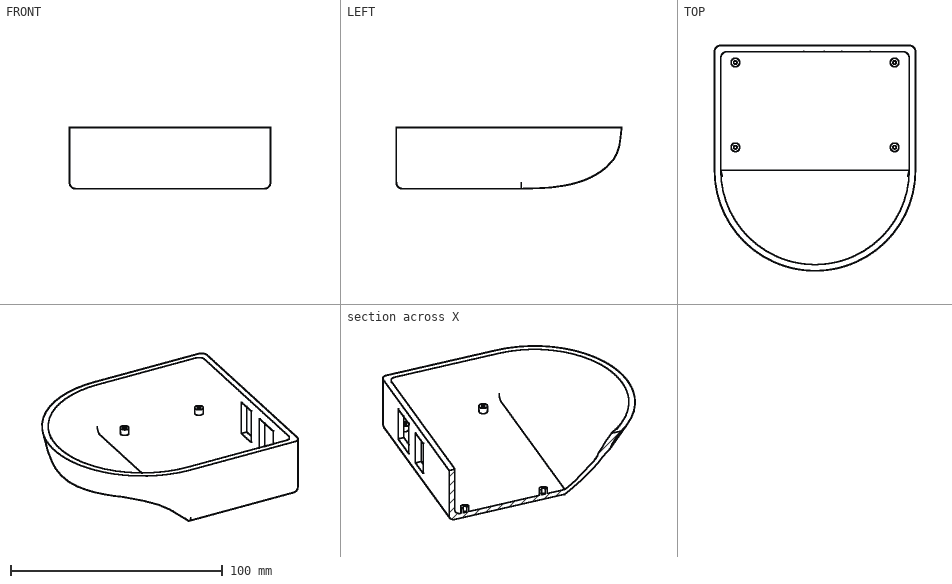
import cadquery as cq
import math

width = 95.0
length = 106.5
height = 29.0
wall = 3.0
edge_radius = 3.0

outer_radius = width / 2
back_y = length - outer_radius
crease_reach = 0.71
profile_exponent = 2.5
keel_stations = (0.2, 0.43, 0.67, 0.85, 0.96)

post_diameter = 4.0
post_hole_diameter = 1.6
post_height = 3.0
post_x = 37.6
post_back_gaps = (8.1, 48.1)

windows = ((-5.2, 9.6), (12.7, 13.4))
window_height = 17.0
window_drop = 5.1


def box_body(radius, bottom, back):
    """Straight rear part with rounded back corners and floor edges."""
    depth = height - bottom
    body = cq.Workplane("XY").box(2 * radius, back, depth, centered=(True, False, False))
    body = body.translate((0, 0, bottom))
    return body.edges("(|Z and >Y) or (<Z and (not <Y))").fillet(edge_radius)


def nose_body(radius, bottom):
    """Scooped front part: floor patch, two corner strips and two side patches up to the rim."""
    depth = height - bottom
    crease_y = -crease_reach * radius
    crease_x = math.sqrt(radius**2 - crease_y**2)
    floor_x = radius - edge_radius
    side_z = bottom + edge_radius
    bend = edge_radius * math.sin(math.pi / 4)

    def line(start, end):
        return cq.Edge.makeLine(cq.Vector(*start), cq.Vector(*end))

    def rim_arc(start_x, start_y, mid_x, mid_y, end_x, end_y):
        return cq.Edge.makeThreePointArc(
            cq.Vector(start_x, start_y, height),
            cq.Vector(mid_x, mid_y, height),
            cq.Vector(end_x, end_y, height),
        )

    def patch(edges, points=()):
        return cq.Face.makeNSidedSurface(edges, [cq.Vector(*point) for point in points])

    floor_line = line((-floor_x, 0, bottom), (floor_x, 0, bottom))
    top_line = line((-radius, 0, height), (radius, 0, height))
    front_arc = rim_arc(-crease_x, crease_y, 0, -radius, crease_x, crease_y)

    back_edges = [floor_line, top_line]
    rim_edges = [top_line, front_arc]
    floor_edges = [floor_line, front_arc]
    faces = []
    for side in (-1, 1):
        rim_start = (side * radius, 0, height)
        crease_end = (side * crease_x, crease_y, height)
        corner_top = (side * radius, 0, side_z)
        corner_bottom = (side * floor_x, 0, bottom)
        corner_arc = cq.Edge.makeThreePointArc(
            cq.Vector(*corner_top),
            cq.Vector(side * (floor_x + bend), 0, side_z - bend),
            cq.Vector(*corner_bottom),
        )
        side_mid_x = math.sqrt((radius + crease_x) * radius / 2)
        side_mid_y = -math.sqrt((radius - crease_x) * radius / 2)
        side_arc = rim_arc(*rim_start[:2], side * side_mid_x, side_mid_y, *crease_end[:2])
        upright = line(corner_top, rim_start)
        upper_crease = line(corner_top, crease_end)
        lower_crease = line(corner_bottom, crease_end)
        faces.append(patch([upright, side_arc, upper_crease]))
        faces.append(patch([corner_arc, upper_crease, lower_crease]))
        back_edges += [upright, corner_arc]
        rim_edges.append(side_arc)
        floor_edges.append(lower_crease)

    keel = [
        (0, -radius * share, height - depth * (1 - share**profile_exponent) ** (1 / profile_exponent))
        for share in keel_stations
    ]
    faces.append(patch(floor_edges, keel))
    for edges in (back_edges, rim_edges):
        faces.append(cq.Face.makeFromWires(cq.Wire.combine(edges)[0]))
    shell = cq.Shell.makeShell(faces)
    return cq.Workplane(cq.Solid.makeSolid(shell).fix())


def tub(radius, bottom, back):
    return box_body(radius, bottom, back).union(nose_body(radius, bottom))


def posts():
    centres = [(side * post_x, back_y - gap) for side in (-1, 1) for gap in post_back_gaps]
    return (
        cq.Workplane("XY", origin=(0, 0, wall))
        .pushPoints(centres)
        .circle(post_diameter / 2)
        .circle(post_hole_diameter / 2)
        .extrude(post_height)
    )


result = tub(outer_radius, 0, back_y).cut(tub(outer_radius - wall, wall, back_y - wall))

for left_x, window_width in windows:
    opening = cq.Workplane("XY").box(window_width, 2 * wall, window_height, centered=(False, True, False))
    result = result.cut(opening.translate((left_x, back_y - wall / 2, height - window_drop - window_height)))

result = result.union(posts())